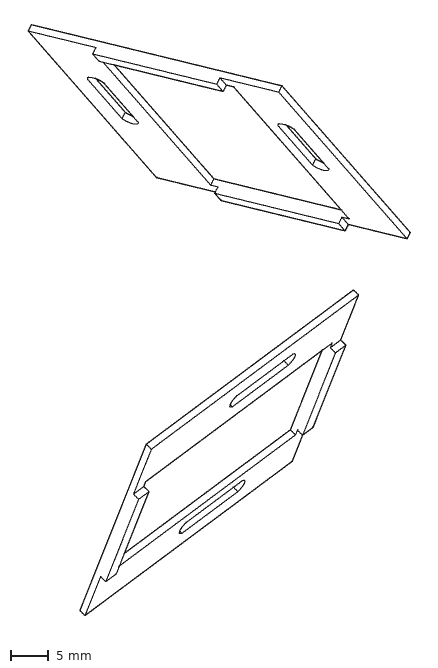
import cadquery as cq
import math

plate_width = 42.0
plate_length = 40.0
plate_thickness = 1.0
tilt_angle = 45.0

rail_width = 2.0
window_width = 23.2
window_offset = 0.75
window_length = plate_length - 2 * rail_width

tab_width = 20.8
tab_depth = 1.0

slot_width = 2.75
slot_end_radius = 1.5
slot_length = 12.5
slot_spacing = 31.9
slot_offset = 3.0


def make_frame():
    """Flat plate with the window cut out, underside at Z = 0."""
    return (
        cq.Workplane("XY")
        .rect(plate_width, plate_length)
        .center(window_offset, 0)
        .rect(window_width, window_length)
        .extrude(plate_thickness)
    )


def make_tabs():
    """Pair of tabs hanging below the rails, flush with their outer edges."""
    rail_center = (plate_length - rail_width) / 2
    return (
        cq.Workplane("XY")
        .pushPoints([(window_offset, -rail_center), (window_offset, rail_center)])
        .rect(tab_width, rail_width)
        .extrude(-tab_depth)
    )


def make_slots():
    """Cutters with shallow arc ends, shifted towards the edge that tilts up."""
    half_width = slot_width / 2
    half_length = slot_length / 2
    end_rise = slot_end_radius - math.sqrt(slot_end_radius**2 - half_width**2)
    side_end = half_length - end_rise
    slot = (
        cq.Workplane("XY")
        .moveTo(-half_width, -side_end)
        .threePointArc((0, -half_length), (half_width, -side_end))
        .lineTo(half_width, side_end)
        .threePointArc((0, half_length), (-half_width, side_end))
        .close()
        .extrude(plate_thickness)
        .translate((0, -slot_offset, 0))
    )
    half_spacing = slot_spacing / 2
    return slot.translate((-half_spacing, 0, 0)).union(slot.translate((half_spacing, 0, 0)))


flat_part = make_frame().union(make_tabs()).cut(make_slots())

result = flat_part.rotate((0, 0, 0), (1, 0, 0), -tilt_angle)